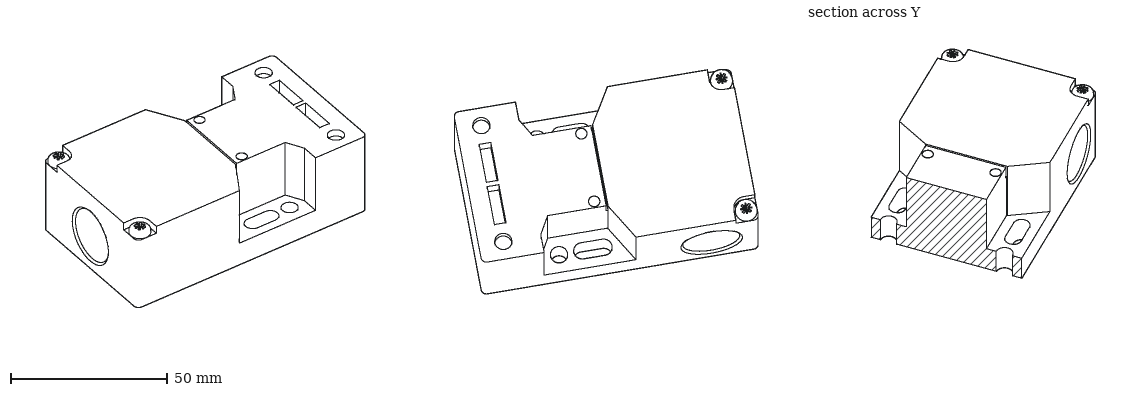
import cadquery as cq
import math

width = 52.0
length = 90.0
height = 30.0
corner_radius = 1.75
half_width = width / 2
front_y = -length / 2

neck_half_width = 13.85
ledge_height = 8.8
recess_rear_y = 24.8
recess_rear_flat = 6.2
recess_neck_rear_y = 21.5
recess_neck_front_y = 1.9
recess_front_y = -5.0
cover_edge_half_width = 14.1

groove_width = 0.6
groove_depth = 4.5

mount_x = 20.0
mount_diameter = 5.5
mount_hole_y = 18.9
mount_slot_y = 7.9
mount_slot_length = 12.4

blind_hole_y = 37.0
blind_hole_depth = 2.5
pocket_length = 13.1
pocket_width = 3.8
pocket_web = 1.5
pocket_y = 36.9
pocket_depth = 5.0

mark_x = 11.7
mark_y = 6.0
mark_diameter = 3.6
mark_depth = 0.1

port_diameter = 18.5
port_chamfer = 0.75
port_z = 13.0
front_port_depth = 9.8
side_port_y = front_y + 15.4
side_port_depth = 7.0

notch_size = 7.5
notch_depth = 2.75
notch_radius = notch_size / 2
screw_inset = 3.55
seat_z = height - notch_depth
head_radius = 3.5
head_rim_height = 0.95
dome_radius_at_edge = 2.87
dome_height = 0.9
shoulder_bulge = 0.12

drive_half_length = 2.2
drive_floor_half_length = 0.2
drive_depth = 1.8
cross_slot_width = 0.3
diagonal_slot_width = 0.65


def housing():
    block = cq.Workplane("XY").box(width, length, height, centered=(True, True, False))
    return block.edges("|Z").fillet(corner_radius)


def side_recess(side):
    """Volume above one ledge; side is -1 or +1 along X."""
    outline = [
        (half_width, recess_rear_y),
        (half_width - recess_rear_flat, recess_rear_y),
        (neck_half_width, recess_neck_rear_y),
        (neck_half_width, recess_neck_front_y),
        (cover_edge_half_width, recess_neck_front_y),
        (half_width, recess_front_y),
    ]
    points = [(side * x, y) for x, y in outline]
    recess = cq.Workplane("XY").workplane(offset=ledge_height).polyline(points).close()
    return recess.extrude(height - ledge_height)


def neck_groove():
    groove = cq.Workplane("XY").workplane(offset=height - groove_depth)
    groove = groove.center(0, recess_neck_front_y + groove_width / 2)
    return groove.rect(2 * neck_half_width, groove_width).extrude(groove_depth)


def mounting_openings(side):
    base = cq.Workplane("XY")
    hole = base.center(side * mount_x, mount_hole_y).circle(mount_diameter / 2).extrude(height)
    slot = base.center(side * mount_x, mount_slot_y)
    slot = slot.slot2D(mount_slot_length, mount_diameter, 90).extrude(height)
    return hole.union(slot)


def head_openings(side):
    top = cq.Workplane("XY").workplane(offset=height)
    hole = top.center(side * mount_x, blind_hole_y).circle(mount_diameter / 2).extrude(-blind_hole_depth)
    pocket = top.center(side * (pocket_web + pocket_length) / 2, pocket_y)
    pocket = pocket.rect(pocket_length, pocket_width).extrude(-pocket_depth)
    return hole.union(pocket)


def lid_mark(side):
    top = cq.Workplane("XY").workplane(offset=height)
    return top.center(side * mark_x, mark_y).circle(mark_diameter / 2).extrude(-mark_depth)


def cable_port(mouth, direction, depth):
    """Blind bore with a chamfered mouth, running inwards along direction."""
    bore_radius = port_diameter / 2
    bore = cq.Solid.makeCylinder(bore_radius, depth, mouth, direction)
    lead_in = cq.Solid.makeCone(bore_radius + port_chamfer, bore_radius, port_chamfer, mouth, direction)
    return cq.Workplane(obj=bore.fuse(lead_in))


def screw_notch(side):
    """Notch open to the front and side faces, rounded at its inner corner."""
    notch = cq.Workplane("XY").workplane(offset=seat_z)
    notch = notch.center(side * (half_width - notch_size / 2), front_y + notch_size / 2)
    notch = notch.rect(notch_size, notch_size).extrude(notch_depth)
    inner_edge = ">Y and <X" if side > 0 else ">Y and >X"
    return notch.edges("|Z").edges(inner_edge).fillet(notch_radius)


def drive_slot(angle, slot_width):
    """Slot across the screw axis whose ends slope in towards its floor."""
    floor_z = height - drive_depth
    profile = [
        (-drive_half_length, height),
        (drive_half_length, height),
        (drive_floor_half_length, floor_z),
        (-drive_floor_half_length, floor_z),
    ]
    slot = cq.Workplane("XZ").polyline(profile).close().extrude(slot_width / 2, both=True)
    return slot.rotate((0, 0, 0), (0, 0, 1), angle)


def screw_head(side):
    """Domed head with an eight-pointed drive, standing on the notch floor."""
    rim_z = seat_z + head_rim_height
    dome_edge_z = height - dome_height
    dome_radius = (dome_radius_at_edge**2 + dome_height**2) / (2 * dome_height)
    dome_mid_r = dome_radius_at_edge / 2
    dome_mid_z = height - dome_radius + math.sqrt(dome_radius**2 - dome_mid_r**2)
    shoulder_mid = (
        (head_radius + dome_radius_at_edge) / 2 + shoulder_bulge,
        (rim_z + dome_edge_z) / 2 + shoulder_bulge,
    )
    head = cq.Workplane("XZ").moveTo(0, seat_z).lineTo(head_radius, seat_z).lineTo(head_radius, rim_z)
    head = head.threePointArc(shoulder_mid, (dome_radius_at_edge, dome_edge_z))
    head = head.threePointArc((dome_mid_r, dome_mid_z), (0, height)).close()
    head = head.revolve(360, (0, 0, 0), (0, 1, 0))
    for angle in (0, 90):
        head = head.cut(drive_slot(angle, cross_slot_width))
        head = head.cut(drive_slot(angle + 45, diagonal_slot_width))
    return head.translate((side * (half_width - screw_inset), front_y + screw_inset, 0))


body = housing().cut(neck_groove())
for x_side in (-1, 1):
    body = body.cut(side_recess(x_side))
    body = body.cut(mounting_openings(x_side))
    body = body.cut(head_openings(x_side))
    body = body.cut(lid_mark(x_side))
    body = body.cut(screw_notch(x_side))
    body = body.union(screw_head(x_side))

front_mouth = cq.Vector(0, front_y, port_z)
side_mouth = cq.Vector(-half_width, side_port_y, port_z)
body = body.cut(cable_port(front_mouth, cq.Vector(0, 1, 0), front_port_depth))
body = body.cut(cable_port(side_mouth, cq.Vector(1, 0, 0), side_port_depth))

result = body